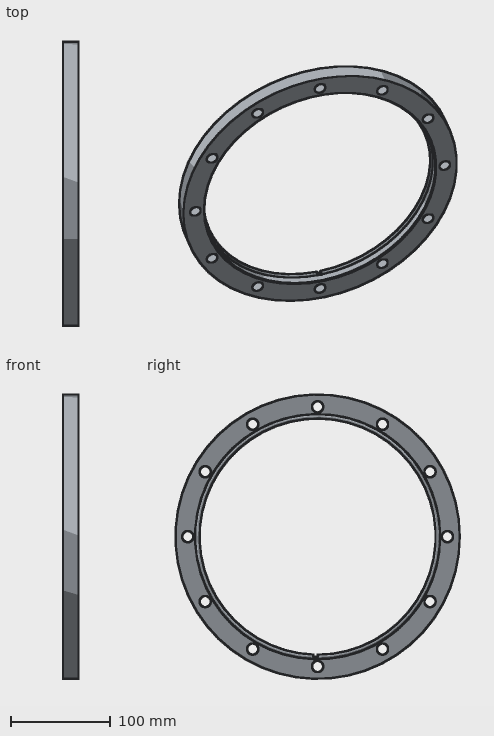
import cadquery as cq

outer_diameter = 285.0
bore_diameter = 240.7
thickness = 16.0
bore_chamfer = 0.8

counterbore_diameter = 245.7
shoulder_position = 9.5

hole_count = 12
hole_diameter = 11.0
bolt_circle_diameter = 260.0

wire_diameter = 4.5
wire_circle_radius = bore_diameter / 2
wire_position = shoulder_position + wire_diameter / 2
gap_angle = 2.0


def make_flange():
    """Flat ring with a chamfered bore, a counterbore and a circle of bolt holes."""
    ring = (
        cq.Workplane("YZ")
        .circle(outer_diameter / 2)
        .circle(bore_diameter / 2)
        .extrude(thickness)
    )
    bore_edge = cq.selectors.RadiusNthSelector(0)
    ring = ring.faces("<X").edges(bore_edge).chamfer(bore_chamfer)
    counterbore = (
        cq.Workplane("YZ", origin=(shoulder_position, 0, 0))
        .circle(counterbore_diameter / 2)
        .extrude(thickness - shoulder_position)
    )
    holes = (
        cq.Workplane("YZ")
        .polarArray(bolt_circle_diameter / 2, 0, 360, hole_count)
        .circle(hole_diameter / 2)
        .extrude(thickness)
    )
    return ring.cut(counterbore).cut(holes)


def make_snap_ring():
    """Split wire ring: starts at the lowest point, leads off to +Y, and leaves a gap on the -Y side."""
    return (
        cq.Workplane("XZ")
        .center(wire_position, -wire_circle_radius)
        .circle(wire_diameter / 2)
        .revolve(360 - gap_angle, (0, wire_circle_radius, 0), (1, wire_circle_radius, 0))
    )


flange = make_flange()
snap_ring = make_snap_ring()

result = cq.Compound.makeCompound([flange.val(), snap_ring.val()])